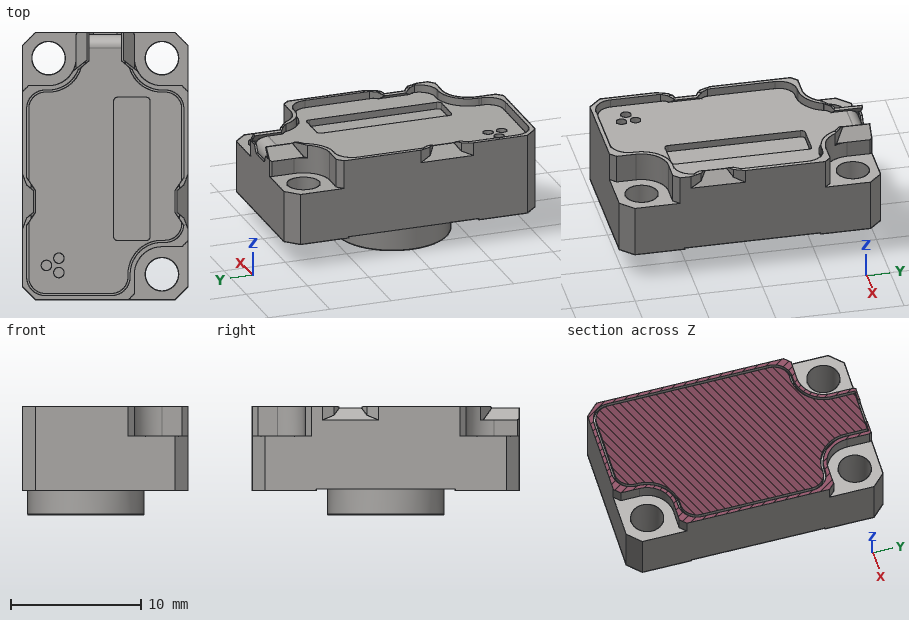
import cadquery as cq
import math

length = 20.5
width = 12.7
height = 6.45
corner_chamfer = 1.0
half_width = width / 2
half_length = length / 2

hole_diameter = 2.55
hole_x = 4.35
hole_y = 8.28
pad_depth = 2.3
pad_radius = 2.11
pad_edge_chamfer = 0.47
neck_half_width = hole_x - pad_radius

lid_depth = 0.53
lid_thickness = 1.02
lid_gap = 0.16
rim_width = 0.33
lid_half_width = half_width - rim_width - lid_gap
lid_bottom_y = -half_length + rim_width + lid_gap
lid_corner_radius = 1.27
lid_hole_radius = pad_radius + rim_width + lid_gap
lid_neck_half_width = hole_x - lid_hole_radius
lid_end_y = half_length - lid_gap

bevel_depth = 1.05
bevel_run = 0.85
ridge_drop = 0.12
lip_width = 0.16
lip_drop = 0.12
crimp_reach = bevel_run + lip_width

side_crimp_y = -2.7
side_crimp_half_length = 0.85
side_crimp_run = 1.0
side_bevel_shoulder = 1.27
side_bevel_half_length = 2.13

neck_crimp_start_y = 7.38
neck_crimp_straight_y = 8.1
neck_bevel_start_y = 7.15
neck_end_taper = 0.08

outlet_ledge_depth = 0.96
outlet_half_width = 1.27
sill_half_width = 0.9

pocket_x_min = 0.64
pocket_x_max = 3.45
pocket_y_min = -5.7
pocket_y_max = 5.29
pocket_corner_radius = 0.3
pocket_depth = 0.55
dot_diameter = 0.8
dot_depth = pocket_depth
dot_centre_x = -3.87
dot_centre_y = -7.6
dot_circle_radius = 0.64
dot_count = 3
first_dot_angle = 60

boss_diameter = 8.95
boss_x = -1.5
boss_drop = 1.89
boss_chamfer = 0.08
channel_depth = 0.1
channel_length = 10.62

lid_top_z = height - lid_depth
recess_floor_z = lid_top_z - lid_thickness
bevel_slope = (bevel_depth - ridge_drop) / bevel_run
pad_z = height - pad_depth
margin = 0.4


def prism(outline, z_low, z_high):
    """Upright prism over a closed XY outline."""
    return outline.extrude(z_high - z_low).translate((0, 0, z_low))


def box(x_min, x_max, y_min, y_max, z_min, z_max):
    """Box between two opposite corners."""
    size = (x_max - x_min, y_max - y_min, z_max - z_min)
    return cq.Workplane("XY").box(*size, centered=False).translate((x_min, y_min, z_min))


def lid_outline(end_y):
    """Edge of the lid, with its cable neck running up to end_y."""
    half = lid_half_width
    radius = lid_corner_radius
    sweep = lid_hole_radius
    sweep_mid = sweep * math.sqrt(0.5)
    corner_mid = radius * (1 - math.sqrt(0.5))
    neck_x = lid_neck_half_width
    shoulder_y = hole_y - sweep
    low_y = lid_bottom_y

    return (
        cq.Workplane("XY")
        .moveTo(-half + radius, low_y)
        .lineTo(neck_x - radius, low_y)
        .threePointArc((neck_x - corner_mid, low_y + corner_mid), (neck_x, low_y + radius))
        .lineTo(neck_x, -hole_y)
        .threePointArc((hole_x - sweep_mid, -hole_y + sweep_mid), (hole_x, -shoulder_y))
        .lineTo(half - radius, -shoulder_y)
        .threePointArc((half - corner_mid, -shoulder_y + corner_mid), (half, -shoulder_y + radius))
        .lineTo(half, shoulder_y - radius)
        .threePointArc((half - corner_mid, shoulder_y - corner_mid), (half - radius, shoulder_y))
        .lineTo(hole_x, shoulder_y)
        .threePointArc((hole_x - sweep_mid, hole_y - sweep_mid), (neck_x, hole_y))
        .lineTo(neck_x, end_y)
        .lineTo(-neck_x, end_y)
        .lineTo(-neck_x, hole_y)
        .threePointArc((-hole_x + sweep_mid, hole_y - sweep_mid), (-hole_x, shoulder_y))
        .lineTo(-half + radius, shoulder_y)
        .threePointArc((-half + corner_mid, shoulder_y - corner_mid), (-half, shoulder_y - radius))
        .lineTo(-half, low_y + radius)
        .threePointArc((-half + corner_mid, low_y + corner_mid), (-half + radius, low_y))
        .close()
    )


def pad_cut(mirror_x, mirror_y):
    """Space above one mounting pad; the unmirrored pad is at +X, +Y."""
    diagonal = pad_radius * math.sqrt(0.5)
    inner_x = neck_half_width
    inner_y = hole_y - pad_radius
    outer_x = half_width + margin
    outer_y = half_length + margin
    side_y = inner_y - pad_edge_chamfer - margin
    outline = (
        cq.Workplane("XY")
        .moveTo(inner_x, outer_y)
        .lineTo(inner_x, hole_y)
        .threePointArc((hole_x - diagonal, hole_y - diagonal), (hole_x, inner_y))
        .lineTo(half_width - pad_edge_chamfer, inner_y)
        .lineTo(outer_x, side_y)
        .lineTo(outer_x, outer_y)
        .close()
    )
    cut = prism(outline, pad_z, height + margin)
    if mirror_x:
        cut = cut.mirror("YZ")
    if mirror_y:
        cut = cut.mirror("XZ")
    return cut


def lower_pad_end_cut():
    """Chamfer of the lobe where the lower pad meets the end face."""
    outline = cq.Workplane("XY").polyline([
        (neck_half_width, -half_length + pad_edge_chamfer),
        (neck_half_width, -half_length),
        (neck_half_width - pad_edge_chamfer, -half_length),
    ]).close()
    return prism(outline, pad_z, height + margin)


def neck_end_cut():
    """Slight taper of the neck sides at the end face."""
    outline = cq.Workplane("XY").polyline([
        (neck_half_width, lid_end_y),
        (neck_half_width, half_length),
        (neck_half_width - neck_end_taper, half_length),
    ]).close()
    return prism(outline, pad_z, height + margin)


def bevel_space(foot_x):
    """Space above a slope that rises toward -X from foot_x, as long as the housing."""
    foot_z = height - bevel_depth
    top_x = foot_x - (bevel_depth + margin) / bevel_slope
    profile = cq.Workplane("XZ").polyline([
        (foot_x + bevel_run, foot_z),
        (foot_x, foot_z),
        (top_x, height + margin),
        (foot_x + bevel_run, height + margin),
    ]).close()
    return profile.extrude(half_length + margin, both=True)


def crimp_space(foot_x):
    """Section of a bent rim before bevelling: underside parallel to the bevel, square lip."""
    root_x = foot_x - rim_width / 2
    lip_x = foot_x - crimp_reach
    lip_z = height - ridge_drop - lip_drop
    lip_slope = lip_drop / lip_width
    profile = cq.Workplane("XZ").polyline([
        (lip_x, lip_z),
        (root_x, lip_z - (root_x - lip_x) * bevel_slope),
        (root_x, height),
        (lip_x + (height - lip_z) / lip_slope, height),
    ]).close()
    return profile.extrude(half_length, both=True)


def side_crimp():
    """Bent rim over the long edge of the lid on the +X side."""
    lip_x = half_width - crimp_reach
    end_half = side_crimp_half_length + side_crimp_run
    outline = cq.Workplane("XY").polyline([
        (half_width, side_crimp_y - end_half),
        (half_width - rim_width, side_crimp_y - end_half),
        (lip_x, side_crimp_y - side_crimp_half_length),
        (lip_x, side_crimp_y + side_crimp_half_length),
        (half_width - rim_width, side_crimp_y + end_half),
        (half_width, side_crimp_y + end_half),
    ]).close()
    return prism(outline, 0, height).intersect(crimp_space(half_width))


def neck_crimp():
    """Bent rim over the cable neck of the lid on the +X side."""
    lip_x = neck_half_width - crimp_reach
    outline = cq.Workplane("XY").polyline([
        (neck_half_width - rim_width / 2, neck_crimp_start_y),
        (lip_x, neck_crimp_straight_y),
        (lip_x, half_length),
        (neck_half_width - rim_width / 2, half_length),
    ]).close()
    return prism(outline, 0, height).intersect(crimp_space(neck_half_width))


def side_bevel_cut():
    """Bevel on the outside of the +X side crimp."""
    shoulder_x = half_width - rim_width
    inner_x = half_width - bevel_run
    outline = cq.Workplane("XY").polyline([
        (half_width, side_crimp_y - side_bevel_half_length),
        (shoulder_x, side_crimp_y - side_bevel_shoulder),
        (inner_x, side_crimp_y - side_crimp_half_length),
        (inner_x, side_crimp_y + side_crimp_half_length),
        (shoulder_x, side_crimp_y + side_bevel_shoulder),
        (half_width, side_crimp_y + side_bevel_half_length),
    ]).close()
    return prism(outline, 0, height + margin).intersect(bevel_space(half_width))


def neck_bevel_cut():
    """Bevel on the outside of the +X neck crimp."""
    outer_x = neck_half_width + margin
    inner_x = neck_half_width - crimp_reach
    outline = cq.Workplane("XY").polyline([
        (outer_x, neck_bevel_start_y),
        (inner_x, neck_crimp_straight_y + lip_width),
        (inner_x, half_length + margin),
        (outer_x, half_length + margin),
    ]).close()
    return prism(outline, 0, height + margin).intersect(bevel_space(neck_half_width))


def recess_cut():
    """Recess for the lid, open at the cable end, with a gap all round the lid."""
    outline = lid_outline(half_length + margin).offset2D(lid_gap)
    return prism(outline, recess_floor_z, height + margin)


def outlet_sides():
    """Two blocks with sloping inner faces that narrow the cable outlet in front of the lid."""
    wall_x = lid_neck_half_width + lid_gap
    ledge_z = height - outlet_ledge_depth
    block = cq.Workplane("XZ").polyline([
        (wall_x, recess_floor_z),
        (sill_half_width, recess_floor_z),
        (outlet_half_width, ledge_z),
        (wall_x, ledge_z),
    ]).close().extrude(-lid_gap).translate((0, lid_end_y, 0))
    return block.union(block.mirror("YZ"))


def make_housing():
    body = cq.Workplane("XY").box(width, length, height, centered=(True, True, False))
    body = body.edges("|Z").chamfer(corner_chamfer)

    for mirror_x, mirror_y in [(False, False), (True, False), (False, True)]:
        body = body.cut(pad_cut(mirror_x, mirror_y))
    body = body.cut(lower_pad_end_cut())
    holes = cq.Workplane("XY").pushPoints([(hole_x, hole_y), (-hole_x, hole_y), (hole_x, -hole_y)])
    body = body.cut(holes.circle(hole_diameter / 2).extrude(height))

    body = body.cut(recess_cut())
    for crimp in [side_crimp(), neck_crimp()]:
        body = body.union(crimp).union(crimp.mirror("YZ"))
    for cut in [side_bevel_cut(), neck_bevel_cut(), neck_end_cut()]:
        body = body.cut(cut).cut(cut.mirror("YZ"))
    body = body.union(outlet_sides())

    channel = box(-width, width, -channel_length / 2, channel_length / 2, 0, channel_depth)
    return body.cut(channel)


def make_lid():
    plate = prism(lid_outline(lid_end_y), recess_floor_z, lid_top_z)
    end_block = box(-lid_neck_half_width, lid_neck_half_width, lid_end_y - lid_thickness, lid_end_y,
                    recess_floor_z, lid_top_z)
    roller = (
        cq.Workplane("YZ")
        .center(lid_end_y - lid_thickness, recess_floor_z)
        .circle(lid_thickness)
        .extrude(2 * lid_neck_half_width)
        .translate((-lid_neck_half_width, 0, 0))
    )
    plate = plate.cut(end_block.cut(roller))
    for crimp in [side_crimp(), neck_crimp()]:
        plate = plate.cut(crimp).cut(crimp.mirror("YZ"))

    pocket = box(pocket_x_min, pocket_x_max, pocket_y_min, pocket_y_max, lid_top_z - pocket_depth, lid_top_z)
    plate = plate.cut(pocket.edges("|Z").fillet(pocket_corner_radius))

    dots = (
        cq.Workplane("XY", origin=(dot_centre_x, dot_centre_y, lid_top_z))
        .polarArray(dot_circle_radius, first_dot_angle, 360, dot_count)
        .circle(dot_diameter / 2)
        .extrude(-dot_depth)
    )
    return plate.cut(dots)


def make_boss():
    boss = cq.Workplane("XY").circle(boss_diameter / 2).extrude(boss_drop + channel_depth)
    boss = boss.faces("<Z").chamfer(boss_chamfer)
    return boss.translate((boss_x, 0, -boss_drop))


housing = make_housing()
lid = make_lid()
boss = make_boss()

result = cq.Compound.makeCompound([
    housing.solids().val(),
    lid.solids().val(),
    boss.solids().val(),
])